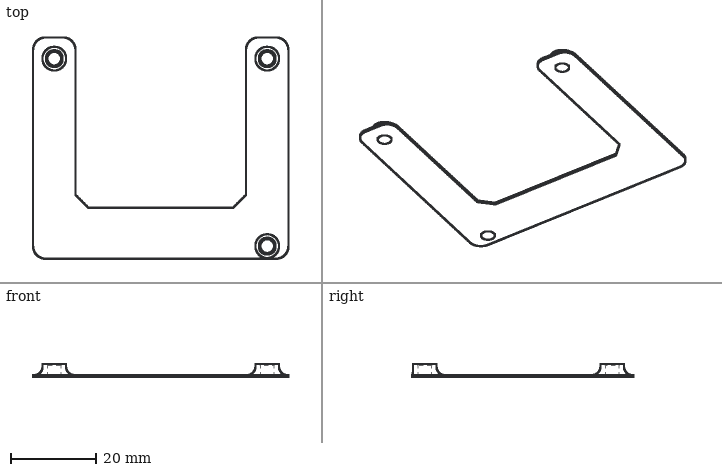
import cadquery as cq

length = 60.0
depth = 52.0
plate_thickness = 0.5
arm_width = 10.0
base_width = 12.0
corner_radius = 3.0
inner_chamfer = 3.0

total_height = 3.1
boss_diameter = 5.6
boss_flare_radius = 2.0
hole_diameter = 3.25
hole_chamfer = 0.35
front_boss_offset = 3.0

arm_center = arm_width / 2
boss_centers = [
    (arm_center, depth - arm_center),
    (length - arm_center, depth - arm_center),
    (length - arm_center, front_boss_offset),
]


def make_plate():
    """U-shaped plate with rounded outer corners and chamfered inner corners."""
    blank = cq.Workplane("XY").box(length, depth, plate_thickness, centered=False)
    opening = (
        cq.Workplane("XY")
        .box(length - 2 * arm_width, depth - base_width, plate_thickness, centered=False)
        .edges("|Z and <Y")
        .chamfer(inner_chamfer)
        .translate((arm_width, base_width, 0))
    )
    return blank.cut(opening).edges("|Z and (<Y or >Y)").fillet(corner_radius)


def add_boss(body, center):
    """Round boss whose foot flares into the plate and rolls onto nearby plate edges."""
    boss = cq.Workplane("XY").center(*center).circle(boss_diameter / 2).extrude(total_height)
    joined = body.union(boss)
    foot_point = (center[0], center[1], plate_thickness)
    foot = joined.edges("%CIRCLE").edges(cq.selectors.NearestToPointSelector(foot_point))
    return foot.fillet(boss_flare_radius)


def hole_cutter(center):
    """Through hole with a chamfered mouth at the top of the boss."""
    hole = cq.Workplane("XY").center(*center).circle(hole_diameter / 2).extrude(total_height)
    mouth = (
        cq.Workplane("XY", origin=(*center, total_height - hole_chamfer))
        .circle(hole_diameter / 2)
        .workplane(offset=hole_chamfer)
        .circle(hole_diameter / 2 + hole_chamfer)
        .loft()
    )
    return hole.union(mouth)


result = make_plate()
for boss_center in boss_centers:
    result = add_boss(result, boss_center)
for boss_center in boss_centers:
    result = result.cut(hole_cutter(boss_center))